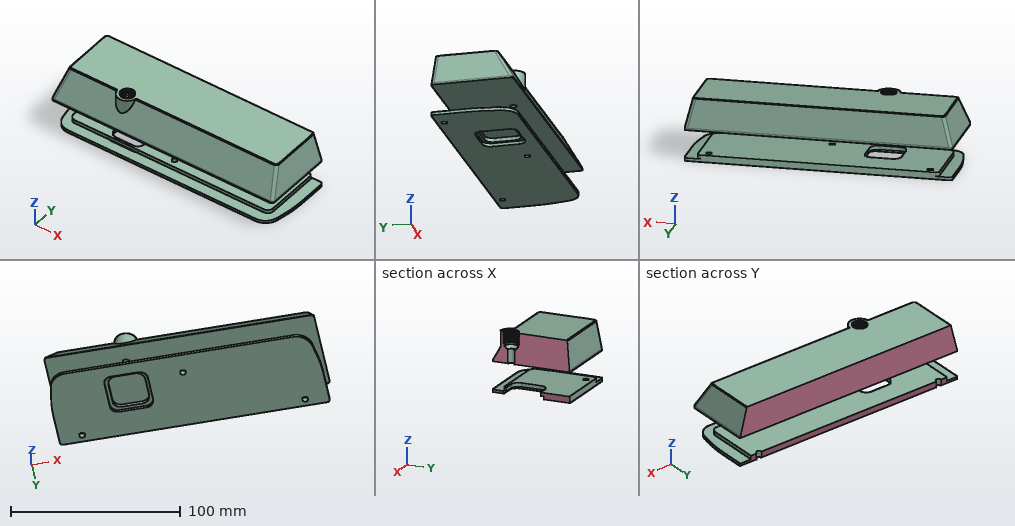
import cadquery as cq
import math

length = 162.0
width = 50.0
total_height = 39.0
left_x = -length / 2
front_y = -width / 2
rear_y = width / 2
corner_radius = 2.0

cover_height = 20.0
band_height = 0.6
slope_break_height = 1.0
bevel_top_height = 1.5
end_inset = 4.9
front_inset = 10.9
rear_inset = 1.5
top_edge_chamfer = 0.5
cover_bottom_z = total_height - cover_height

boss_x = -34.0
boss_y = -13.0
boss_diameter = 14.0
thread_minor_diameter = 8.6
thread_major_diameter = 10.2
thread_pitch = 1.5
thread_flat = 0.2
thread_turns = 6
thread_depth = thread_pitch * thread_turns
cone_depth = 2.0
cone_end_diameter = 4.7
tube_diameter = 4.0

plate_thickness = 2.0
lip_height = 2.5
base_height = plate_thickness + lip_height
lip_length = 146.1
lip_front_inset = 7.5
lip_front_radius = 4.0
end_bend_y = -3.0
end_bend_angle = 10.5
end_bend_radius = 76.1
plate_front_radius = 10.0

screw_diameter = 3.4
rear_screw_x = 66.9
rear_screw_y = 20.4
front_screw_y = -12.5
window_side = 22.0
window_front_y = -15.9
window_corner_radius = 4.9
plate_window_margin = 2.0


def cover_section(height, slope_fraction):
    """Rounded rectangle at a height above the cover's bottom, part way up the slopes."""
    section_length = length - 2 * end_inset * slope_fraction
    section_width = width - (front_inset + rear_inset) * slope_fraction
    middle_y = (front_inset - rear_inset) / 2 * slope_fraction
    place = cq.Location(cq.Vector(0, middle_y, height))
    return cq.Sketch().rect(section_length, section_width).vertices().fillet(corner_radius).moved(place)


def tapered_block():
    """Vertical band, bevel and sloping sides, with a chamfered top edge."""
    slope_height = cover_height - slope_break_height
    bevel_fraction = (bevel_top_height - slope_break_height) / slope_height
    bottom = cover_section(0, 0)
    band_top = cover_section(band_height, 0)
    bevel_top = cover_section(bevel_top_height, bevel_fraction)
    top = cover_section(cover_height, 1)
    block = (
        cq.Workplane("XY", origin=(0, 0, cover_bottom_z))
        .placeSketch(bottom, band_top, bevel_top, top)
        .loft(ruled=True)
    )
    return block.faces(">Z").edges().chamfer(top_edge_chamfer)


def thread_profile():
    """Half section of the thread as ring grooves, from the top face down, as (radius, z) points."""
    crest = thread_minor_diameter / 2
    root = thread_major_diameter / 2
    half_flat = thread_flat / 2
    points = [((crest + root) / 2, total_height)]
    for turn in range(thread_turns):
        crest_z = total_height - (turn + 0.25) * thread_pitch
        points += [(crest, crest_z + half_flat), (crest, crest_z - half_flat)]
        if turn < thread_turns - 1:
            root_z = crest_z - thread_pitch / 2
            points += [(root, root_z + half_flat), (root, root_z - half_flat)]
    return points


def threaded_port():
    """Cutter for the thread, the cone below it and the tube hole that runs through."""
    tube = tube_diameter / 2
    cone_top_z = total_height - thread_depth
    cone_bottom_z = cone_top_z - cone_depth
    bore = [
        (thread_minor_diameter / 2, cone_top_z),
        (cone_end_diameter / 2, cone_bottom_z),
        (tube, cone_bottom_z),
        (tube, cover_bottom_z),
        (0, cover_bottom_z),
        (0, total_height),
    ]
    return (
        cq.Workplane("XZ")
        .polyline(thread_profile() + bore)
        .close()
        .revolve(360, (0, 0, 0), (0, 1, 0))
        .translate((boss_x, boss_y, 0))
    )


def make_cover():
    boss = (
        cq.Workplane("XY", origin=(boss_x, boss_y, cover_bottom_z))
        .circle(boss_diameter / 2)
        .extrude(cover_height)
    )
    return tapered_block().union(boss).cut(threaded_port())


def base_plate():
    """Plate whose ends bend inward towards the front, with every corner rounded."""
    front_x = left_x + (end_bend_y - front_y) * math.tan(math.radians(end_bend_angle))
    left_side = [(left_x, rear_y), (left_x, end_bend_y), (front_x, front_y)]
    right_side = [(-x, y) for x, y in reversed(left_side)]
    plate = cq.Workplane("XY").polyline(left_side + right_side).close().extrude(plate_thickness)
    radii = [corner_radius, end_bend_radius, plate_front_radius]
    for (x, y), radius in zip(left_side, radii):
        for side_x in (x, -x):
            corner = cq.NearestToPointSelector((side_x, y, plate_thickness / 2))
            plate = plate.edges("|Z").edges(corner).fillet(radius)
    return plate


def base_lip():
    """Raised step on the plate."""
    lip_width = width - lip_front_inset
    return (
        cq.Workplane("XY")
        .center(0, lip_front_inset / 2)
        .rect(lip_length, lip_width)
        .extrude(base_height)
        .edges("|Z and <Y")
        .fillet(lip_front_radius)
        .edges("|Z and >Y")
        .fillet(corner_radius)
    )


def window(side, height):
    """Square opening with rounded corners."""
    return (
        cq.Workplane("XY")
        .center(boss_x, window_front_y + window_side / 2)
        .rect(side, side)
        .extrude(height)
        .edges("|Z")
        .fillet(window_corner_radius)
    )


def base_openings():
    """Screw holes and the window, which is larger through the plate than through the lip."""
    screw_places = [(-rear_screw_x, rear_screw_y), (rear_screw_x, rear_screw_y), (0, front_screw_y)]
    screws = cq.Workplane("XY").pushPoints(screw_places).circle(screw_diameter / 2).extrude(base_height)
    plate_window = window(window_side + 2 * plate_window_margin, plate_thickness)
    return screws.union(window(window_side, base_height)).union(plate_window)


def make_base():
    return base_plate().union(base_lip()).cut(base_openings())


cover = make_cover()
base = make_base()
result = cq.Compound.makeCompound([cover.val(), base.val()])